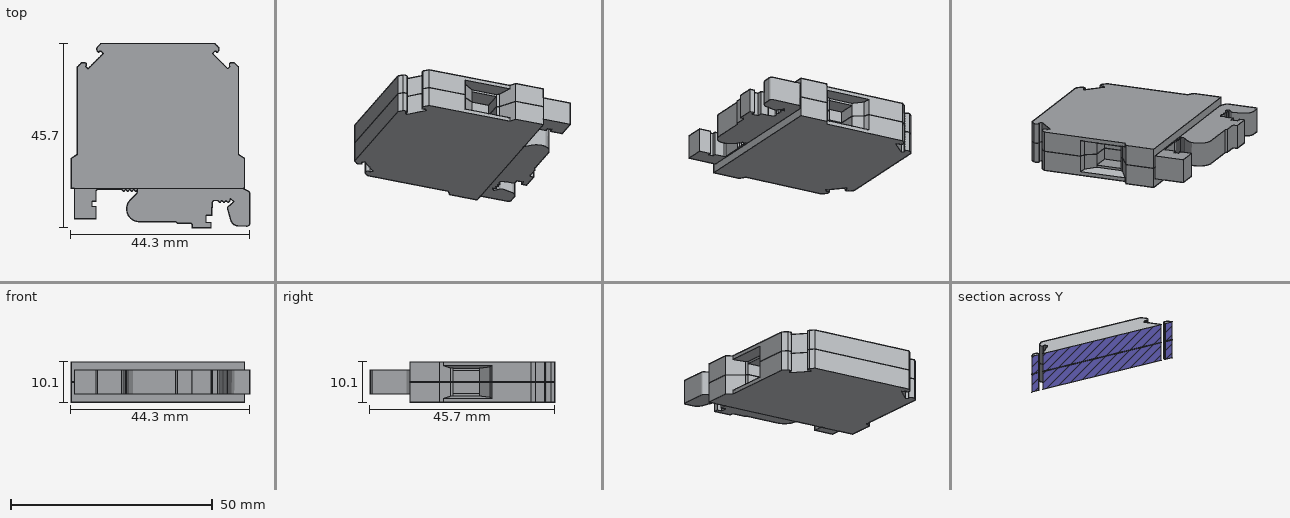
import cadquery as cq
import math


OVERLAP = 0.2

OVERALL_WIDTH = 44.3
OVERALL_HEIGHT = 45.7

SHELL_THICKNESS = 5.0
PARTING_GAP = 0.05
HOUSING_THICKNESS = 2 * SHELL_THICKNESS + PARTING_GAP
HOUSING_HEIGHT = 35.9
HALF_BASE_WIDTH = 21.5
HALF_WIDTH = 20.0
STEP_LOW_Y = 7.4
STEP_HIGH_Y = 8.37
SHOULDER_Y = 31.1
LIP_CHAMFER = 1.1
UPPER_LIP_X = 15.15
UPPER_LIP_MID_Y = 34.43
HALF_TOP_WIDTH = 14.05
LOWER_LIP_INNER_X = 17.7
LOWER_LIP_ROUND = 0.4
SLOT_TOP = (13.55, 33.35)
SLOT_BOTTOM = (17.3, 29.6)
LOWER_UNDERCUT_Y = 30.25
LOWER_UNDERCUT_CORNER = (17.85, 30.15)
RELIEF_LEFT_X = 14.05
RELIEF_RIGHT_X = 14.45
RELIEF_Y = 33.9
UPPER_LIP_FOOT_LEFT_X = 14.55
UPPER_LIP_FOOT_RIGHT_X = 14.75
UPPER_LIP_BOTTOM_Y = 33.65
UPPER_LIP_ROUND_START = (15.02, 33.95)
UPPER_LIP_ROUND_END = (15.03, 34.92)

ENTRY_TOP_Y = 20.3
ENTRY_HALF_HEIGHT = 4.05
FUNNEL_DEPTH = 3.0
FUNNEL_BREAK_DEPTH = 1.4
FUNNEL_BREAK_Y = 19.8
FUNNEL_END_HALF_HEIGHT = 3.42
CHANNEL_TOP_Y = 17.2
CHANNEL_BOTTOM_Y = 10.75
CHANNEL_HALF_HEIGHT = 2.87
CHANNEL_DEPTH = 5.0
SILL_DEPTH = 2.6

FOOT_THICKNESS = 6.0
STRAP_Y = -0.3
LEG_LEFT_X = -20.65
LEG_RIGHT_X = -15.3
LEG_BOTTOM_Y = -7.6
LEG_NOTCH_DEPTH = 1.0
LEG_NOTCH_TOP_Y = -3.25
LEG_NOTCH_BOTTOM_Y = -4.45
CORNER_CHAMFER = 0.3

TOOTH_DEPTH = 0.52
TOOTH_TIP_SHARE = 0.55
STRAP_TOOTH_PITCH = 0.985
STRAP_TOOTH_COUNT = 4
BRIDGE_TOOTH_PITCH = 1.03
BRIDGE_TOOTH_COUNT = 3

BULGE_X = -4.56
BULGE_Y = -5.1
BULGE_RADIUS = 3.2
NECK_X = -5.05
NECK_BEND = (-5.2, -1.2)
BODY_RIGHT_X = 13.5
BODY_STEP_X = 13.35
BODY_STEP_Y = -4.7
LEDGE_Y = -8.66
LEDGE_START_X = 4.4
LEDGE_RAMP = 0.45
LEDGE_END_X = 8.0
LEDGE_ROUND = 0.5
PAD_BOTTOM_Y = HOUSING_HEIGHT - OVERALL_HEIGHT
PAD_RIGHT_X = 13.2
BODY_NOTCH_X = 11.95
BODY_NOTCH_TOP_Y = -6.7
BODY_NOTCH_BOTTOM_Y = -8.45

BRIDGE_Y = -3.05
BRIDGE_FILLET = 0.5
BRIDGE_TEETH_X = 14.8
HOOK_RIGHT_X = OVERALL_WIDTH - HALF_BASE_WIDTH
HOOK_BOTTOM_Y = -9.35
HOOK_BOTTOM_LEFT_X = 20.0
HOOK_BOTTOM_RIGHT_X = 21.7
HOOK_HEEL_Y = -8.6
HOOK_FLANK_END = (18.0, -7.8)
HOOK_NOSE_LOW = (17.25, -5.15)
HOOK_NOSE_TIP = (17.2, -4.85)
HOOK_NOSE_HIGH = (17.35, -4.6)
HOOK_THROAT = (18.8, -3.3)
HOOK_THROAT_TOP = (17.95, -2.6)
HOOK_SHOULDER_Y = -1.3
HOOK_SHOULDER_MID = (22.65, -0.9)
HOOK_SHOULDER_END = (22.3, -0.65)
HOOK_TOP_X = 21.0


def prism(outline, thickness):
    """Extrude a closed outline equally to both sides of the parting plane."""
    return outline.close().extrude(thickness / 2, both=True)


def block(x_min, x_max, y_min, y_max, thickness):
    """Rectangular bar centred on the parting plane."""
    return (
        cq.Workplane("XY")
        .center((x_min + x_max) / 2, (y_min + y_max) / 2)
        .box(x_max - x_min, y_max - y_min, thickness)
    )


def housing_half():
    """Housing on the +X side of the centre plane, with its corner label slot."""
    lip_round_drop = LOWER_LIP_ROUND * (1 - math.sqrt(0.5))
    outline = (
        cq.Workplane("XY")
        .lineTo(HALF_BASE_WIDTH, 0)
        .lineTo(HALF_BASE_WIDTH, STEP_LOW_Y)
        .lineTo(HALF_WIDTH, STEP_HIGH_Y)
        .lineTo(HALF_WIDTH, SHOULDER_Y - LIP_CHAMFER)
        .lineTo(HALF_WIDTH - LIP_CHAMFER, SHOULDER_Y)
        .lineTo(LOWER_LIP_INNER_X + LOWER_LIP_ROUND, SHOULDER_Y)
        .threePointArc(
            (LOWER_LIP_INNER_X + lip_round_drop, SHOULDER_Y - lip_round_drop),
            (LOWER_LIP_INNER_X, SHOULDER_Y - LOWER_LIP_ROUND),
        )
        .lineTo(LOWER_LIP_INNER_X, LOWER_UNDERCUT_Y)
        .lineTo(*LOWER_UNDERCUT_CORNER)
        .lineTo(*SLOT_BOTTOM)
        .lineTo(*SLOT_TOP)
        .lineTo(RELIEF_LEFT_X, RELIEF_Y)
        .lineTo(RELIEF_RIGHT_X, RELIEF_Y)
        .lineTo(UPPER_LIP_FOOT_LEFT_X, UPPER_LIP_BOTTOM_Y)
        .lineTo(UPPER_LIP_FOOT_RIGHT_X, UPPER_LIP_BOTTOM_Y)
        .lineTo(*UPPER_LIP_ROUND_START)
        .threePointArc((UPPER_LIP_X, UPPER_LIP_MID_Y), UPPER_LIP_ROUND_END)
        .lineTo(HALF_TOP_WIDTH, HOUSING_HEIGHT)
        .lineTo(0, HOUSING_HEIGHT)
    )
    return prism(outline, HOUSING_THICKNESS)


def wire_entry():
    """Cutter for the +X wire entry: a tapered funnel leading to a square channel."""
    funnel_end_x = HALF_WIDTH - FUNNEL_DEPTH
    sill_slope = (STEP_HIGH_Y - STEP_LOW_Y) / (HALF_BASE_WIDTH - HALF_WIDTH)
    sill_end_y = STEP_HIGH_Y + SILL_DEPTH * sill_slope
    side_profile = (
        cq.Workplane("XY")
        .moveTo(HALF_BASE_WIDTH, STEP_LOW_Y)
        .lineTo(HALF_BASE_WIDTH, ENTRY_TOP_Y)
        .lineTo(HALF_WIDTH, ENTRY_TOP_Y)
        .lineTo(HALF_WIDTH - FUNNEL_BREAK_DEPTH, FUNNEL_BREAK_Y)
        .lineTo(funnel_end_x, CHANNEL_TOP_Y)
        .lineTo(funnel_end_x, CHANNEL_BOTTOM_Y)
        .lineTo(HALF_WIDTH - SILL_DEPTH, sill_end_y)
    )
    taper = (ENTRY_HALF_HEIGHT - FUNNEL_END_HALF_HEIGHT) / FUNNEL_DEPTH
    mouth_half_height = ENTRY_HALF_HEIGHT + taper * (HALF_BASE_WIDTH - HALF_WIDTH)
    taper_envelope = (
        cq.Workplane("XZ")
        .moveTo(funnel_end_x, -FUNNEL_END_HALF_HEIGHT)
        .lineTo(HALF_BASE_WIDTH, -mouth_half_height)
        .lineTo(HALF_BASE_WIDTH, mouth_half_height)
        .lineTo(funnel_end_x, FUNNEL_END_HALF_HEIGHT)
        .close()
        .extrude(-HOUSING_HEIGHT)
    )
    funnel = prism(side_profile, HOUSING_THICKNESS).intersect(taper_envelope)
    channel = block(
        funnel_end_x - CHANNEL_DEPTH,
        funnel_end_x + OVERLAP,
        CHANNEL_BOTTOM_Y,
        CHANNEL_TOP_Y,
        2 * CHANNEL_HALF_HEIGHT,
    )
    return funnel.union(channel)


def housing():
    """Both symmetric halves, split into two shells by the parting gap."""
    half = housing_half().cut(wire_entry())
    whole = half.union(half.mirror("YZ"))
    gap = block(-HALF_BASE_WIDTH, HALF_BASE_WIDTH, 0, HOUSING_HEIGHT, PARTING_GAP)
    return whole.cut(gap)


def fixed_leg():
    """Left leg of the foot with its rail notch and the strap along the housing."""
    leg = block(LEG_LEFT_X, LEG_RIGHT_X, LEG_BOTTOM_Y, 0, FOOT_THICKNESS)
    notch = block(
        LEG_RIGHT_X - LEG_NOTCH_DEPTH, LEG_RIGHT_X, LEG_NOTCH_BOTTOM_Y, LEG_NOTCH_TOP_Y, FOOT_THICKNESS
    )
    strap = block(LEG_LEFT_X, BODY_RIGHT_X, STRAP_Y, 0, FOOT_THICKNESS)
    corner = prism(
        cq.Workplane("XY")
        .moveTo(LEG_RIGHT_X - OVERLAP, 0)
        .lineTo(LEG_RIGHT_X - OVERLAP, STRAP_Y - CORNER_CHAMFER)
        .lineTo(LEG_RIGHT_X, STRAP_Y - CORNER_CHAMFER)
        .lineTo(LEG_RIGHT_X + CORNER_CHAMFER, STRAP_Y)
        .lineTo(LEG_RIGHT_X + CORNER_CHAMFER, 0),
        FOOT_THICKNESS,
    )
    return leg.cut(notch).union(strap).union(corner)


def tooth_row(start_x, root_y, pitch, count):
    """Row of pointed teeth hanging below root_y, with a backing strip above it."""
    top_y = root_y + OVERLAP
    outline = cq.Workplane("XY").moveTo(start_x, top_y).lineTo(start_x, root_y)
    for index in range(count):
        tooth_x = start_x + index * pitch
        outline = outline.lineTo(tooth_x + TOOTH_TIP_SHARE * pitch, root_y - TOOTH_DEPTH)
        outline = outline.lineTo(tooth_x + pitch, root_y)
    return prism(outline.lineTo(start_x + count * pitch, top_y), FOOT_THICKNESS)


def foot_body():
    """Central body with a round bulge on the left and a stepped pad on the right."""
    diagonal = BULGE_RADIUS * math.sqrt(0.5)
    bulge_bottom_y = BULGE_Y - BULGE_RADIUS
    pad_left_x = LEDGE_END_X + LEDGE_ROUND
    round_mid = LEDGE_ROUND * math.sqrt(0.5)
    outline = (
        cq.Workplane("XY")
        .moveTo(NECK_X, 0)
        .lineTo(NECK_X, STRAP_Y)
        .lineTo(*NECK_BEND)
        .lineTo(BULGE_X - diagonal, BULGE_Y + diagonal)
        .threePointArc((BULGE_X - BULGE_RADIUS, BULGE_Y), (BULGE_X, bulge_bottom_y))
        .lineTo(LEDGE_START_X, bulge_bottom_y)
        .lineTo(LEDGE_START_X + LEDGE_RAMP, LEDGE_Y)
        .lineTo(LEDGE_END_X, LEDGE_Y)
        .threePointArc(
            (LEDGE_END_X + round_mid, LEDGE_Y - LEDGE_ROUND + round_mid),
            (pad_left_x, LEDGE_Y - LEDGE_ROUND),
        )
        .lineTo(pad_left_x, PAD_BOTTOM_Y)
        .lineTo(PAD_RIGHT_X, PAD_BOTTOM_Y)
        .lineTo(PAD_RIGHT_X, BODY_NOTCH_BOTTOM_Y)
        .lineTo(BODY_NOTCH_X, BODY_NOTCH_BOTTOM_Y)
        .lineTo(BODY_NOTCH_X, BODY_NOTCH_TOP_Y)
        .lineTo(BODY_STEP_X, BODY_NOTCH_TOP_Y)
        .lineTo(BODY_STEP_X, BODY_STEP_Y)
        .lineTo(BODY_RIGHT_X, BODY_STEP_Y)
        .lineTo(BODY_RIGHT_X, 0)
    )
    return prism(outline, FOOT_THICKNESS)


def rail_hook():
    """Bridge with a toothed underside, carrying the hook at the right end."""
    fillet_mid = BRIDGE_FILLET * (1 - math.sqrt(0.5))
    teeth_end_x = BRIDGE_TEETH_X + BRIDGE_TOOTH_COUNT * BRIDGE_TOOTH_PITCH
    outline = (
        cq.Workplane("XY")
        .moveTo(BODY_RIGHT_X - OVERLAP, 0)
        .lineTo(HOOK_TOP_X, 0)
        .lineTo(*HOOK_SHOULDER_END)
        .threePointArc(HOOK_SHOULDER_MID, (HOOK_RIGHT_X, HOOK_SHOULDER_Y))
        .lineTo(HOOK_RIGHT_X, HOOK_HEEL_Y)
        .tangentArcPoint((HOOK_BOTTOM_RIGHT_X, HOOK_BOTTOM_Y), relative=False)
        .lineTo(HOOK_BOTTOM_LEFT_X, HOOK_BOTTOM_Y)
        .tangentArcPoint(HOOK_FLANK_END, relative=False)
        .lineTo(*HOOK_NOSE_LOW)
        .threePointArc(HOOK_NOSE_TIP, HOOK_NOSE_HIGH)
        .lineTo(*HOOK_THROAT)
        .lineTo(*HOOK_THROAT_TOP)
        .lineTo(teeth_end_x, BRIDGE_Y)
        .lineTo(BODY_RIGHT_X + BRIDGE_FILLET, BRIDGE_Y)
        .threePointArc(
            (BODY_RIGHT_X + fillet_mid, BRIDGE_Y - fillet_mid),
            (BODY_RIGHT_X, BRIDGE_Y - BRIDGE_FILLET),
        )
        .lineTo(BODY_RIGHT_X - OVERLAP, BRIDGE_Y - BRIDGE_FILLET)
    )
    teeth = tooth_row(BRIDGE_TEETH_X, BRIDGE_Y, BRIDGE_TOOTH_PITCH, BRIDGE_TOOTH_COUNT)
    return prism(outline, FOOT_THICKNESS).union(teeth)


def mounting_foot():
    """Fixed leg, toothed strap, central body and hook joined into one piece."""
    teeth_start_x = NECK_X - STRAP_TOOTH_COUNT * STRAP_TOOTH_PITCH
    teeth = tooth_row(teeth_start_x, STRAP_Y, STRAP_TOOTH_PITCH, STRAP_TOOTH_COUNT)
    return fixed_leg().union(teeth).union(foot_body()).union(rail_hook())


result = housing().union(mounting_foot())